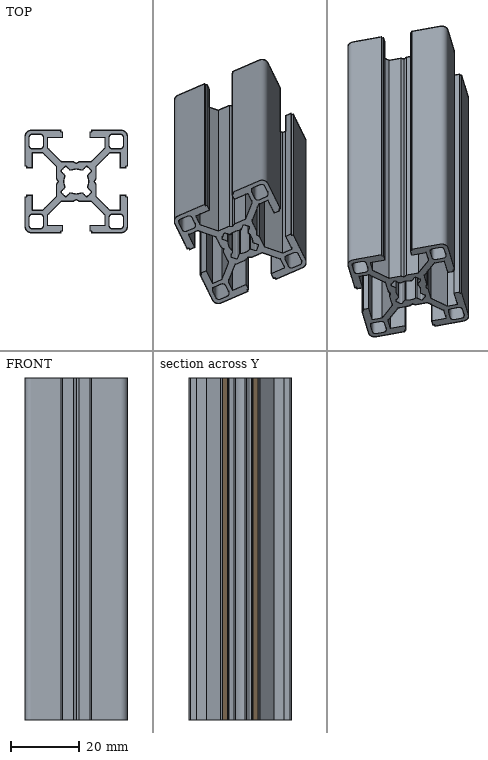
import cadquery as cq

width = 30.0
length = 100.0
corner_radius = 1.9
half_width = width / 2

slot_opening = 8.0
lip_thickness = 2.2
lip_step_width = 0.5
lip_step_depth = 0.5
slot_width = 16.8
slot_side_depth = 5.2
core_width = 11.6
groove_width = 1.7
groove_depth = 0.5

cavity_size = 4.2
cavity_center = 11.7
cavity_radius = 1.0

bore_width = 6.6
bore_diameter = 7.2
relief_width = 2.1
relief_reach = 5.4
relief_radius = 0.4

quarter_turns = [0, 90, 180, 270]
diagonals = [45, 135]


def turn(body, angle):
    """Rotate a body about the profile axis."""
    return body.rotate((0, 0, 0), (0, 0, 1), angle)


def make_slot():
    """T-slot in the +Y side, with stepped lips and a V-groove in its floor."""
    opening = slot_opening / 2
    side = slot_width / 2
    lip_inner = half_width - lip_thickness
    web_start = half_width - slot_side_depth
    floor = core_width / 2
    floor_end = side - (web_start - floor)
    right_half = [
        (opening + lip_step_width, half_width),
        (opening + lip_step_width, half_width - lip_step_depth),
        (opening, half_width - lip_step_depth),
        (opening, lip_inner),
        (side, lip_inner),
        (side, web_start),
        (floor_end, floor),
        (groove_width / 2, floor),
    ]
    left_half = [(-x, y) for x, y in reversed(right_half)]
    groove_bottom = (0, floor - groove_depth)
    outline = right_half + [groove_bottom] + left_half
    return cq.Workplane("XY").polyline(outline).close().extrude(length)


def make_corner_cavity():
    """Rounded square cavity in the +X +Y corner."""
    return (
        cq.Workplane("XY")
        .center(cavity_center, cavity_center)
        .rect(cavity_size, cavity_size)
        .extrude(length)
        .edges("|Z")
        .fillet(cavity_radius)
    )


def make_bore():
    """Central through bore with diagonal corner slots."""
    bore = cq.Workplane("XY").rect(bore_width, bore_width).extrude(length)
    bore = bore.union(cq.Workplane("XY").circle(bore_diameter / 2).extrude(length))
    relief = (
        cq.Workplane("XY")
        .rect(2 * relief_reach, relief_width)
        .extrude(length)
        .edges("|Z")
        .fillet(relief_radius)
    )
    for angle in diagonals:
        bore = bore.union(turn(relief, angle))
    return bore


profile = cq.Workplane("XY").rect(width, width).extrude(length).edges("|Z").fillet(corner_radius)
slot = make_slot()
cavity = make_corner_cavity()
for angle in quarter_turns:
    profile = profile.cut(turn(slot, angle))
    profile = profile.cut(turn(cavity, angle))

result = profile.cut(make_bore())